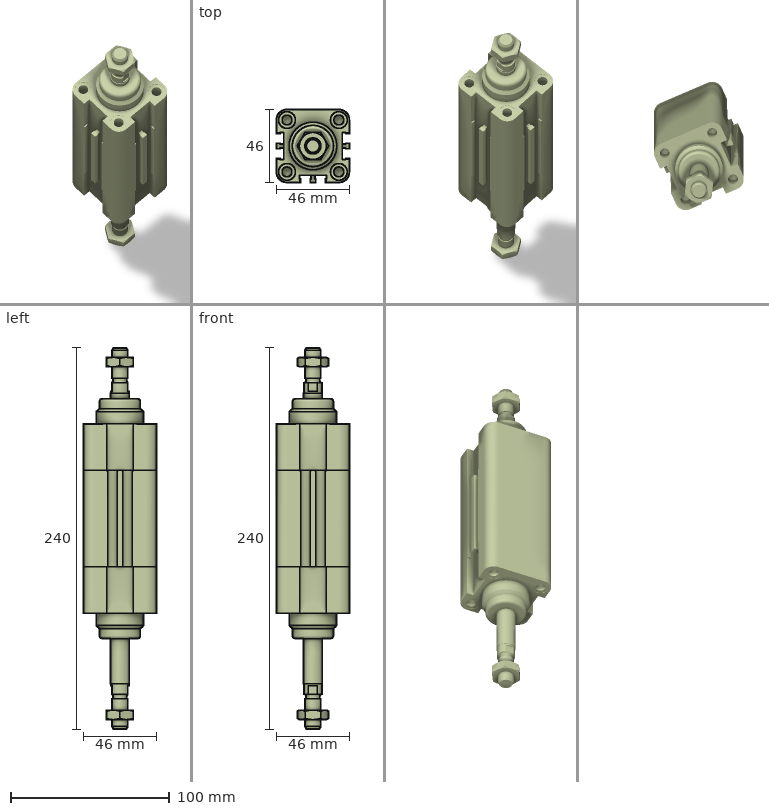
import cadquery as cq
import math


body_width = 46.0
corner_hole_offset = 16.3
corner_radius = body_width / 2 - corner_hole_offset
barrel_length = 60.7
cover_length = 29.3

slot_depth = 4.5
slot_width = 16.8
slot_mouth = 15.4
lip_thickness = 2.5
rib_head_width = 3.5
rib_neck_width = 2.6
slot_angles = (180, 0, 270)

collar_diameter = 30.0
neck_diameter = 26.0
collar_length = 9.5
boss_length = 15.8
overlap_guard = 0.002
collar_chamfer = (collar_diameter - neck_diameter) / 2 - overlap_guard
neck_fillet = 2.0

counterbore_diameter = 10.5
counterbore_depth = 0.2
screw_hole_diameter = 6.2
screw_hole_depth = 12.0
drill_point_angle = 118

rod_length = 240.0
rod_shift = -12.5
rod_diameter = 12.0
wrench_diameter = 11.5
wrench_flats = 10.0
thread_diameter = 10.0
groove_diameter = 9.0
tip_diameter = 8.2
tip_chamfer_length = 1.7
shoulder_height = 91.5
flats_start = 92.6
wrench_end = 98.0
groove_end = 100.8
nut_start = 108.0

nut_across_flats = 17.0
nut_thickness = 6.0
nut_face_diameter = 17.0
nut_chamfer_angle = 30


def square_bar(length):
    bar = cq.Workplane("XY").box(body_width, body_width, length)
    return bar.edges("|Z").fillet(corner_radius)


def side_bar(width, depth_from, depth_to, length):
    """A bar along Z that lies between two depths below the +X side."""
    thickness = depth_to - depth_from
    middle = body_width / 2 - (depth_from + depth_to) / 2
    return cq.Workplane("XY").box(thickness, width, length).translate((middle, 0, 0))


def on_slotted_sides(tool):
    return [tool.rotate((0, 0, 0), (0, 0, 1), angle) for angle in slot_angles]


def make_barrel():
    slot = side_bar(slot_mouth, 0, lip_thickness, barrel_length)
    slot = slot.union(side_bar(slot_width, lip_thickness, slot_depth, barrel_length))
    slot = slot.cut(side_bar(rib_head_width, 0, lip_thickness, barrel_length))
    slot = slot.cut(side_bar(rib_neck_width, lip_thickness, slot_depth, barrel_length))

    barrel = square_bar(barrel_length)
    for placed_slot in on_slotted_sides(slot):
        barrel = barrel.cut(placed_slot)
    rod_hole = cq.Workplane("XY").circle(rod_diameter / 2).extrude(barrel_length, both=True)
    return barrel.cut(rod_hole)


def screw_hole():
    """Counterbored blind hole with a drill-point bottom, opening upwards at Z = 0."""
    hole_radius = screw_hole_diameter / 2
    point_length = hole_radius / math.tan(math.radians(drill_point_angle / 2))
    return (
        cq.Workplane("XZ")
        .moveTo(0, 0)
        .lineTo(counterbore_diameter / 2, 0)
        .lineTo(counterbore_diameter / 2, -counterbore_depth)
        .lineTo(hole_radius, -counterbore_depth)
        .lineTo(hole_radius, -screw_hole_depth)
        .lineTo(0, -screw_hole_depth - point_length)
        .close()
        .revolve(360, (0, 0, 0), (0, 1, 0))
    )


def cover_boss():
    """Chamfered collar and rounded neck, standing on Z = 0."""
    collar = cq.Workplane("XY").circle(collar_diameter / 2).extrude(collar_length)
    collar = collar.faces(">Z").chamfer(collar_chamfer)
    neck = cq.Workplane("XY").circle(neck_diameter / 2).extrude(boss_length)
    return collar.union(neck.faces(">Z").edges().fillet(neck_fillet))


def make_top_cover():
    cover = square_bar(cover_length)
    for placed_slot in on_slotted_sides(side_bar(slot_width, 0, slot_depth, cover_length)):
        cover = cover.cut(placed_slot)
    cover = cover.translate((0, 0, -cover_length / 2)).union(cover_boss())
    for x in (-corner_hole_offset, corner_hole_offset):
        for y in (-corner_hole_offset, corner_hole_offset):
            cover = cover.cut(screw_hole().translate((x, y, 0)))
    rod_hole = cq.Workplane("XY").circle(rod_diameter / 2).extrude(cover_length + boss_length, both=True)
    return cover.cut(rod_hole).translate((0, 0, barrel_length / 2 + cover_length))


def rod_half():
    """Upper half of the rod, standing on its middle at Z = 0."""
    rod_end = rod_length / 2
    groove_radius = (wrench_diameter - groove_diameter) / 2
    half = (
        cq.Workplane("XZ")
        .moveTo(0, 0)
        .lineTo(rod_diameter / 2, 0)
        .lineTo(rod_diameter / 2, shoulder_height)
        .lineTo(wrench_diameter / 2, shoulder_height)
        .lineTo(wrench_diameter / 2, wrench_end)
        .radiusArc((groove_diameter / 2, wrench_end + groove_radius), groove_radius)
        .lineTo(groove_diameter / 2, groove_end)
        .lineTo(thread_diameter / 2, groove_end)
        .lineTo(thread_diameter / 2, rod_end - tip_chamfer_length)
        .lineTo(tip_diameter / 2, rod_end)
        .lineTo(0, rod_end)
        .close()
        .revolve(360, (0, 0, 0), (0, 1, 0))
    )
    for side in (-1, 1):
        flat_cut = cq.Workplane("XY").box(rod_diameter, rod_diameter, groove_end - flats_start)
        cut_y = side * (wrench_flats + rod_diameter) / 2
        half = half.cut(flat_cut.translate((0, cut_y, (flats_start + groove_end) / 2)))
    return half


def make_rod():
    upper = rod_half()
    return upper.union(upper.mirror("XY")).translate((0, 0, rod_shift))


def make_nut(bottom):
    across_corners = nut_across_flats / math.cos(math.pi / 6)
    chamfer_width = (across_corners - nut_face_diameter) / 2
    chamfer_height = chamfer_width * math.tan(math.radians(nut_chamfer_angle))
    blank = cq.Workplane("XY").circle(across_corners / 2).extrude(nut_thickness)
    blank = blank.edges().chamfer(chamfer_height, chamfer_width)
    nut = cq.Workplane("XY").polygon(6, across_corners).extrude(nut_thickness).intersect(blank)
    nut = nut.cut(cq.Workplane("XY").circle(thread_diameter / 2).extrude(nut_thickness))
    return nut.translate((0, 0, bottom))


barrel = make_barrel()
top_cover = make_top_cover()
bottom_cover = top_cover.mirror("XY")
rod = make_rod()
nuts = [
    make_nut(rod_shift + nut_bottom)
    for nut_bottom in (nut_start, -nut_start - nut_thickness)
]

result = cq.Compound.makeCompound(
    [barrel.val(), top_cover.val(), bottom_cover.val(), rod.val(), *[nut.val() for nut in nuts]]
)